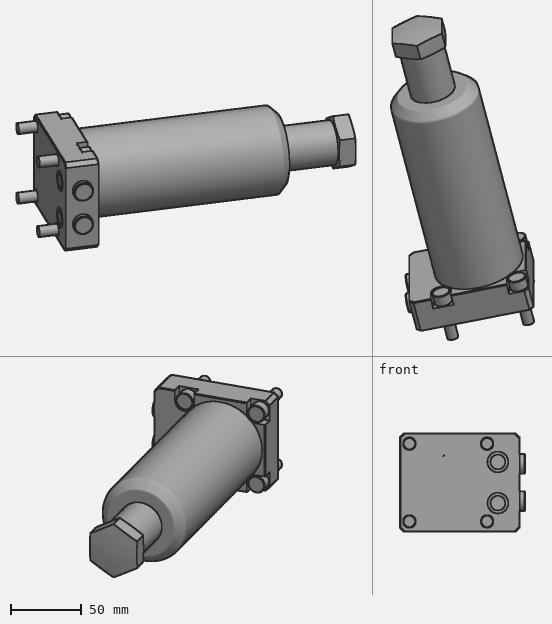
import cadquery as cq
import math


overall_width = 89.0
overall_length = 237

flange_height = 70.0
flange_width = 84.9
flange_thickness = 24.5
flange_left = -34.4
flange_right = flange_left + flange_width
corner_chamfer = 3.0
rim_chamfer = 0.6

barrel_radius = 32.0
barrel_length = 147.0
barrel_chamfer = 6.2
barrel_rounding = 2.0
barrel_end = flange_thickness + barrel_length

rod_radius = 16.1
rod_length = 38.2
rod_end = barrel_end + rod_length

cap_across_flats = 36.0
cap_corner_radius = cap_across_flats / math.sqrt(3)
cap_dome_radius = 139.9
cap_chamfer_angle = 10

screw_spacing = 55.0
shank_radius = 4.0
screw_projection = 13.7
head_radius = 6.5
head_height = 8.0
head_chamfer = 0.5
hole_radius = 4.5
counterbore_radius = 7.3
counterbore_floor = flange_thickness - head_height

cap_height = overall_length - screw_projection - rod_end

ring_x = 35.0
ring_spacing = 29.2
ring_outer_radius = 7.3
ring_inner_radius = 5.2
ring_projection = 0.5

plug_radius = 7.0
plug_spacing = 26.3
plug_projection = overall_width - flange_width
plug_chamfer = 0.7


def cylinder_along_y(radius, start, length, x=0.0, z=0.0):
    """Cylinder along +Y from the plane Y = start."""
    return cq.Workplane(cq.Solid.makeCylinder(radius, length, cq.Vector(x, start, z), cq.Vector(0, 1, 0)))


def block(x_from, x_to, y_from, y_to, z_from, z_to):
    """Box between the given limits."""
    size = (x_to - x_from, y_to - y_from, z_to - z_from)
    return cq.Workplane().box(*size, centered=False).translate((x_from, y_from, z_from))


def screw_places():
    """Signs of X and Z for each of the four screws."""
    return [(side_x, side_z) for side_x in (-1, 1) for side_z in (-1, 1)]


def make_flange():
    half_height = flange_height / 2
    flange = block(flange_left, flange_right, 0, flange_thickness, -half_height, half_height)
    flange = flange.edges("|Y").chamfer(corner_chamfer)
    return flange.faces("<Y or >Y").edges("not(>X)").chamfer(rim_chamfer)


def make_screw_pocket(side_x, side_z):
    """Through hole with a counterbore that is open to the nearest outer sides of the flange."""
    x = side_x * screw_spacing / 2
    z = side_z * screw_spacing / 2
    pocket = cylinder_along_y(hole_radius, 0, flange_thickness, x, z)
    pocket = pocket.union(cylinder_along_y(counterbore_radius, counterbore_floor, head_height, x, z))
    z_limits = sorted((z, side_z * flange_height))
    opening = block(x - counterbore_radius, x + counterbore_radius, counterbore_floor, flange_thickness, *z_limits)
    pocket = pocket.union(opening)
    if side_x < 0:
        z_limits = sorted((z - side_z * counterbore_radius, side_z * flange_height))
        opening = block(2 * flange_left, x, counterbore_floor, flange_thickness, *z_limits)
        pocket = pocket.union(opening)
    return pocket


def make_barrel():
    barrel = cylinder_along_y(barrel_radius, flange_thickness, barrel_length)
    barrel = barrel.faces(">Y").edges().chamfer(barrel_chamfer)
    return barrel.faces("%CONE").edges("%CIRCLE").fillet(barrel_rounding)


def make_sealing_ring(side_z):
    """Bead with a rounded crest, raised from the mounting face."""
    z = side_z * ring_spacing / 2
    crest_radius = (ring_inner_radius + ring_outer_radius) / 2
    ring = (
        cq.Workplane("XY")
        .moveTo(ring_inner_radius, 0)
        .threePointArc((crest_radius, -ring_projection), (ring_outer_radius, 0))
        .close()
        .revolve(360, (0, 0, 0), (0, 1, 0))
    )
    return ring.translate((ring_x, 0, z))


def make_plug(side_z):
    plug = cq.Workplane("YZ").center(flange_thickness / 2, side_z * plug_spacing / 2)
    plug = plug.circle(plug_radius).extrude(plug_projection)
    return plug.faces(">X").chamfer(plug_chamfer).translate((flange_right, 0, 0))


def make_housing():
    housing = make_flange()
    for side_x, side_z in screw_places():
        housing = housing.cut(make_screw_pocket(side_x, side_z))
    housing = housing.union(make_barrel())
    for side_z in (-1, 1):
        housing = housing.union(make_sealing_ring(side_z)).union(make_plug(side_z))
    return housing


def make_rod():
    return cylinder_along_y(rod_radius, barrel_end, rod_length)


def dome_drop(radius):
    """Distance of the dome below its top at a radius from the axis."""
    return cap_dome_radius - math.sqrt(cap_dome_radius**2 - radius**2)


def make_cap():
    """Hexagon with flats on +-X, a domed outer end and a conical chamfer on the rod side."""
    hexagon = cq.Workplane("XZ", origin=(0, rod_end, 0)).transformed(rotate=(0, 0, 90))
    hexagon = hexagon.polygon(6, 2 * cap_corner_radius).extrude(-cap_height)

    chamfer_rise = (cap_corner_radius - rod_radius) * math.tan(math.radians(cap_chamfer_angle))
    dome_middle_radius = cap_corner_radius / 2
    cap_end = rod_end + cap_height
    envelope = (
        cq.Workplane("XY")
        .moveTo(0, rod_end)
        .lineTo(rod_radius, rod_end)
        .lineTo(cap_corner_radius, rod_end + chamfer_rise)
        .lineTo(cap_corner_radius, cap_end - dome_drop(cap_corner_radius))
        .threePointArc((dome_middle_radius, cap_end - dome_drop(dome_middle_radius)), (0, cap_end))
        .close()
        .revolve(360, (0, 0, 0), (0, 1, 0))
    )
    return hexagon.intersect(envelope)


def make_screw(side_x, side_z):
    x = side_x * screw_spacing / 2
    z = side_z * screw_spacing / 2
    head = cylinder_along_y(head_radius, counterbore_floor, head_height, x, z)
    head = head.faces(">Y").chamfer(head_chamfer)
    shank = cylinder_along_y(shank_radius, -screw_projection, screw_projection + counterbore_floor, x, z)
    return head.union(shank)


housing = make_housing()
rod = make_rod()
cap = make_cap()
screws = [make_screw(side_x, side_z) for side_x, side_z in screw_places()]

result = cq.Compound.makeCompound([housing.val(), rod.val(), cap.val(), *[screw.val() for screw in screws]])